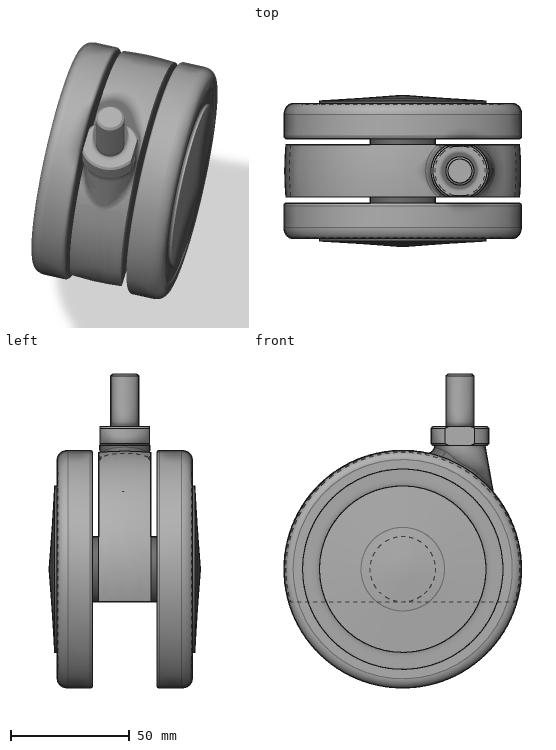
import cadquery as cq
import math


total_height = 132.0
wheel_diameter = 99.9
wheel_radius = wheel_diameter / 2

inner_face_y = 13.5
inner_edge_radius = 1.2
tread_outer_y = 23.8
rim_face_y = 28.4
recess_depth = 0.4
cap_edge_y = 29.5
cap_ring_y = 30.5
cap_peak_y = 31.8

rim_outer_radius = 46.1
rim_inner_radius = 42.1
cap_radius = 35.0
cap_ring_radius = 17.5

housing_width = 22.0
housing_edge_radius = 49.1
housing_crown = 0.5
boss_radius = 13.7

stem_x = 24.0
stem_top_z = total_height - wheel_radius
stud_radius = 6.0
stud_length = 22.0
stud_chamfer = 0.9
flange_radius = 12.1
flange_height = 8.0
flange_across_flats = 20.9
flange_chamfer = 0.8

neck_top_z = stem_top_z - stud_length - flange_height
neck_height = 33.0
neck_top_radius = 10.5
neck_taper = math.radians(10)
neck_foot_radius = neck_top_radius + neck_height * math.tan(neck_taper)
neck_fillet = 3.2


def make_wheel():
    """Wheel on the +Y side: a profile of (radius, y) points turned about the Y axis."""
    tread_inner_y = inner_face_y + inner_edge_radius
    recess_y = rim_face_y - recess_depth
    return (
        cq.Workplane("XY")
        .moveTo(0, inner_face_y)
        .lineTo(wheel_radius - inner_edge_radius, inner_face_y)
        .radiusArc((wheel_radius, tread_inner_y), -inner_edge_radius)
        .lineTo(wheel_radius, tread_outer_y)
        .ellipseArc(
            wheel_radius - rim_outer_radius,
            rim_face_y - tread_outer_y,
            angle1=0,
            angle2=90,
            sense=1,
        )
        .lineTo(rim_inner_radius, rim_face_y)
        .lineTo(rim_inner_radius, recess_y)
        .lineTo(cap_radius, recess_y)
        .lineTo(cap_radius, cap_edge_y)
        .lineTo(cap_ring_radius, cap_ring_y)
        .lineTo(0, cap_peak_y)
        .close()
        .revolve(360, (0, 0, 0), (0, 1, 0))
    )


def make_drum():
    """Slightly crowned drum, cut flat underneath at the lowest level of the bosses."""
    half_width = housing_width / 2
    crown_radius = housing_edge_radius + housing_crown
    drum = (
        cq.Workplane("XY")
        .moveTo(0, -half_width)
        .lineTo(housing_edge_radius, -half_width)
        .threePointArc((crown_radius, 0), (housing_edge_radius, half_width))
        .lineTo(0, half_width)
        .close()
        .revolve(360, (0, 0, 0), (0, 1, 0))
    )
    upper_part = cq.Workplane("XY", origin=(0, 0, -boss_radius)).box(
        2 * crown_radius,
        housing_width,
        boss_radius + crown_radius,
        centered=(True, True, False),
    )
    return drum.intersect(upper_part)


def make_neck():
    """Loft from a circle under the stem flange to an ellipse that widens only along X."""
    return (
        cq.Workplane("XY", origin=(stem_x, 0, neck_top_z - neck_height))
        .ellipse(neck_foot_radius, neck_top_radius)
        .workplane(offset=neck_height)
        .circle(neck_top_radius)
        .loft()
    )


def make_housing():
    """Drum with a filleted neck, and a round boss on each side that reaches the wheel."""
    body = make_drum().union(make_neck())
    neck_joint = cq.selectors.BoxSelector(
        (stem_x - neck_foot_radius, -housing_width, neck_top_z - neck_height),
        (stem_x + neck_foot_radius, housing_width, neck_top_z - flange_chamfer),
    )
    body = body.edges(neck_joint).fillet(neck_fillet)
    bosses = cq.Workplane("XZ").circle(boss_radius).extrude(inner_face_y, both=True)
    return body.union(bosses)


def make_stem():
    """Plain stud on a chamfered round flange that has two wrench flats."""
    flange = (
        cq.Workplane("XY", origin=(stem_x, 0, neck_top_z))
        .circle(flange_radius)
        .extrude(flange_height)
        .faces("|Z")
        .chamfer(flange_chamfer)
    )
    between_flats = cq.Workplane("XY", origin=(stem_x, 0, neck_top_z)).box(
        2 * flange_radius,
        flange_across_flats,
        flange_height,
        centered=(True, True, False),
    )
    stud = (
        cq.Workplane("XY", origin=(stem_x, 0, neck_top_z))
        .circle(stud_radius)
        .extrude(flange_height + stud_length)
        .faces(">Z")
        .chamfer(stud_chamfer)
    )
    return flange.intersect(between_flats).union(stud)


housing = make_housing()
stem = make_stem()
wheels = []
for turn in (0, 180):
    wheels.append(make_wheel().rotate((0, 0, 0), (0, 0, 1), turn))

result = cq.Compound.makeCompound(
    [housing.solids().val(), stem.solids().val(), *[wheel.val() for wheel in wheels]]
)